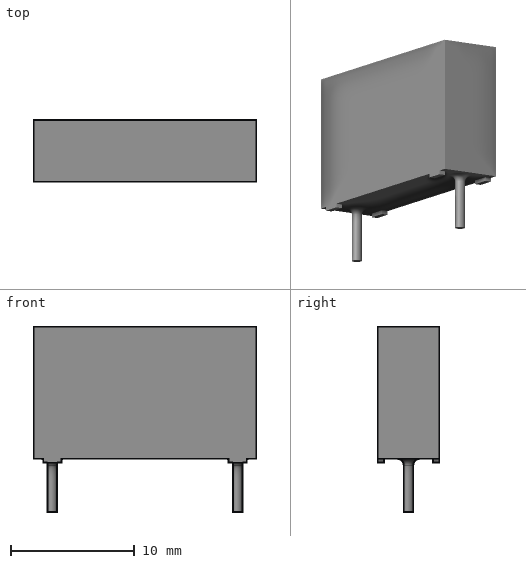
import cadquery as cq

body_length = 18
body_width = 5.0
body_height = 10.7

lead_pitch = 15.0
lead_diameter = 0.8
lead_length = 4.3
lead_fillet_radius = 0.5

foot_length = 1.5
foot_width = 0.54
foot_height = 0.3

lead_positions = [(-lead_pitch / 2, 0), (lead_pitch / 2, 0)]
foot_offset = (body_width - foot_width) / 2
foot_positions = [(x, side * foot_offset) for x, _ in lead_positions for side in (-1, 1)]


def make_body():
    return cq.Workplane("XY").box(body_length, body_width, body_height, centered=(True, True, False))


def make_feet():
    return (
        cq.Workplane("XY")
        .pushPoints(foot_positions)
        .rect(foot_length, foot_width)
        .extrude(-foot_height)
    )


def make_leads():
    """Revolved leads that flare into the underside through a concave fillet."""
    lead_radius = lead_diameter / 2
    flare_radius = lead_radius + lead_fillet_radius
    lead = (
        cq.Workplane("XZ")
        .lineTo(flare_radius, 0)
        .radiusArc((lead_radius, -lead_fillet_radius), -lead_fillet_radius)
        .lineTo(lead_radius, -lead_length)
        .lineTo(0, -lead_length)
        .close()
        .revolve(360, (0, 0), (0, 1))
    )
    leads = cq.Workplane("XY")
    for x, y in lead_positions:
        leads = leads.add(lead.translate((x, y, 0)))
    return leads.combine()


result = make_body().union(make_feet()).union(make_leads())